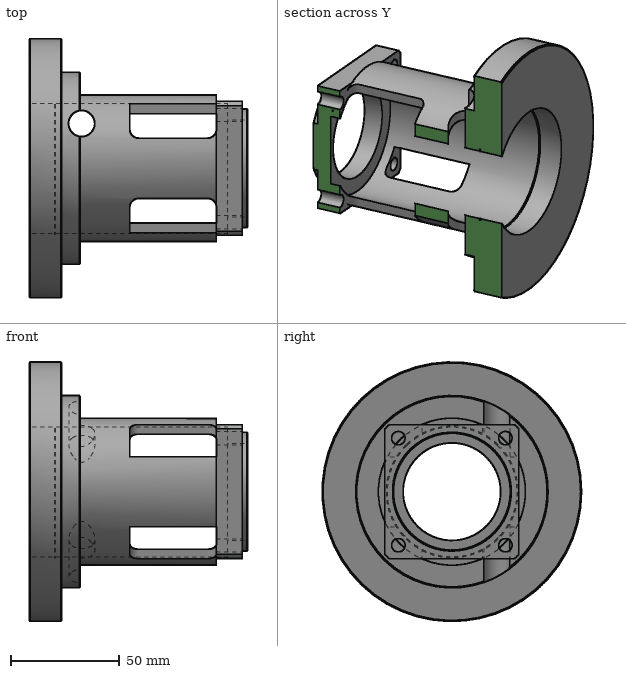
import cadquery as cq
import math

flange_thickness = 15
step_end = 23.5
tube_end = 86.5
plate_thickness = 12
total_length = 101
plate_end = tube_end + plate_thickness

flange_diameter = 120
step_diameter = 89
tube_diameter = 68
spigot_diameter = 55
flange_chamfer = 0.5

main_bore_diameter = 60
main_bore_end = 91.5
groove_diameter = 61
groove_start = 11.5
groove_width = 0.5
end_bore_diameter = 45

plate_side = 62
plate_corner_chamfer = 2
bolt_hole_diameter = 6.2
bolt_circle_diameter = 70

window_length = 40
window_inner_y = 14
window_floor_z = 16.25
window_corner_radius = 4

cross_hole_diameter = 12
cross_hole_x = 24.2
cross_hole_y = 20.7


def cylinder_x(diameter, start, end):
    """Cylinder on the X axis between two stations."""
    return cq.Workplane("YZ", origin=(start, 0, 0)).circle(diameter / 2).extrude(end - start)


def turned_body():
    flange = cylinder_x(flange_diameter, 0, flange_thickness).edges().chamfer(flange_chamfer)
    step = cylinder_x(step_diameter, flange_thickness, step_end).edges(">X").chamfer(flange_chamfer)
    tube = cylinder_x(tube_diameter, flange_thickness, tube_end)
    spigot = cylinder_x(spigot_diameter, plate_end, total_length).edges(">X").chamfer(flange_chamfer)
    return flange.union(step).union(tube).union(spigot)


def mounting_plate():
    plate = cq.Workplane("YZ", origin=(tube_end, 0, 0)).rect(plate_side, plate_side).extrude(plate_thickness)
    return plate.edges("|X").chamfer(plate_corner_chamfer)


def bolt_holes():
    pitch = bolt_circle_diameter / math.sqrt(2)
    holes = cq.Workplane("YZ", origin=(tube_end, 0, 0)).rect(pitch, pitch, forConstruction=True).vertices()
    return holes.circle(bolt_hole_diameter / 2).extrude(plate_thickness)


def bore():
    main_bore = cylinder_x(main_bore_diameter, 0, main_bore_end)
    end_bore = cylinder_x(end_bore_diameter, 0, total_length)
    groove = cylinder_x(groove_diameter, groove_start, groove_start + groove_width)
    return main_bore.union(end_bore).union(groove)


def window(y_side, z_side):
    """Pocket open to the outside, with a flat floor and two rounded inner corners."""
    reach = tube_diameter / 2
    width = reach - window_inner_y
    height = reach - window_floor_z
    block = cq.Workplane("XY").box(window_length, width, height)
    inner_face = "<Y" if y_side > 0 else ">Y"
    block = block.faces(inner_face).edges("|Z").fillet(window_corner_radius)
    return block.translate((
        tube_end - window_length / 2,
        y_side * (window_inner_y + width / 2),
        z_side * (window_floor_z + height / 2),
    ))


def cross_hole():
    hole = cq.Workplane("XY").center(cross_hole_x, cross_hole_y).circle(cross_hole_diameter / 2)
    return hole.extrude(step_diameter / 2, both=True)


result = turned_body().union(mounting_plate())
result = result.cut(bore()).cut(bolt_holes()).cut(cross_hole())
for y_side in (-1, 1):
    for z_side in (-1, 1):
        result = result.cut(window(y_side, z_side))